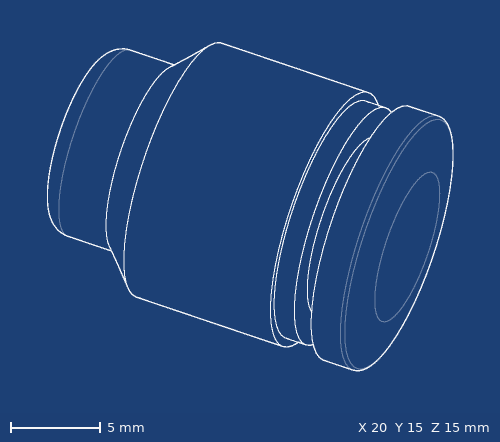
import cadquery as cq

length = 20.0
body_radius = 15.0 / 2
nose_radius = 11.0 / 2
step_radius = 14.0 / 2
neck_radius = 10.5 / 2
end_face_radius = 8.8 / 2

nose_length = 4.0
nose_rounding = 1.1
shoulder_end = nose_length + body_radius - nose_radius
body_end = 15.0
step_end = 16.25
cap_start = 17.5
cap_taper_start = 19.45
cap_rim_rounding = 0.2

profile = [
    (0, 0),
    (0, nose_radius),
    (nose_length, nose_radius),
    (shoulder_end, body_radius),
    (body_end, body_radius),
    (body_end, step_radius),
    (step_end, step_radius),
    (step_end, neck_radius),
    (cap_start, neck_radius),
    (cap_start, body_radius),
    (cap_taper_start, body_radius),
    (length, end_face_radius),
    (length, 0),
]
plug = cq.Workplane("XY").polyline(profile).close().revolve(360, (0, 0, 0), (1, 0, 0))

plug = plug.edges("<X").fillet(nose_rounding)

cap_rim = cq.selectors.BoxSelector(
    (cap_taper_start - cap_rim_rounding, -length, -length),
    (cap_taper_start + cap_rim_rounding, length, length),
)
plug = plug.edges("%CIRCLE").edges(cap_rim).fillet(cap_rim_rounding)

result = plug.translate((-length / 2, 0, 0))